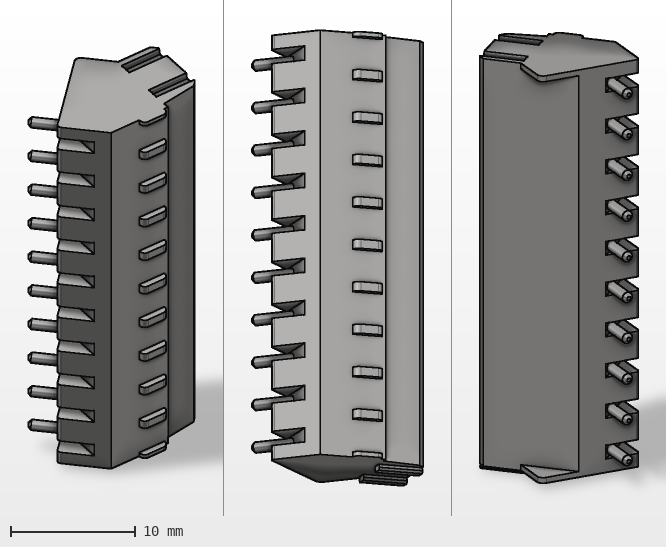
import cadquery as cq
import math

pole_count = 10
body_height = 35.0
pole_pitch = body_height / pole_count

right_x = 9.23
neck_left_x = 2.25
neck_depth = 3.7
rear_chamfer = 0.45
neck_rear_right_x = 8.25
neck_front_right_x = 8.7
nose_corner_x = 6.1
nose_corner_y = -12.42
nose_radius = 0.32
tip_radius = 0.55
end_plate_thickness = 0.5

pocket_y = -10.25
pocket_height = 1.17
pin_diameter = 0.9
pin_chamfer = 0.3
pin_end_x = 2.75
pin_end_y = -12.5
pin_length = 4.97

rib_projection = 0.57
rib_rear_y = -4.05
rib_front_y = -6.53
rib_height = 0.75
rib_radius = 0.5

rail_x_positions = (3.35, 7.1)
rail_height = 0.5
rail_width = 1.15
rail_neck_width = 0.8
rail_flare_height = 0.3
rail_length = neck_depth
groove_depth = 0.5
groove_width = 1.05
groove_floor_width = 0.78


def make_body():
    """Extrude the full outline, then trim the left wing between the two end plates."""
    right_front_y = nose_corner_y + right_x - nose_corner_x
    nose_tangent_offset = nose_radius / math.sqrt(2)
    nose_tangent_y = nose_corner_y + nose_tangent_offset
    nose_tip = (nose_corner_x, nose_corner_y + nose_radius * (math.sqrt(2) - 1))

    corner_x = -tip_radius * (math.sqrt(2) - 1)
    corner_y = nose_corner_y + nose_corner_x - corner_x
    tangent_offset = tip_radius / math.sqrt(2)
    neck_left_y = corner_y + neck_left_x - corner_x

    outline = (
        cq.Workplane("XY")
        .moveTo(neck_left_x + rear_chamfer, 0)
        .lineTo(neck_rear_right_x - rear_chamfer, 0)
        .lineTo(neck_rear_right_x, -rear_chamfer)
        .lineTo(neck_front_right_x, -neck_depth)
        .lineTo(right_x, -neck_depth)
        .lineTo(right_x, right_front_y)
        .lineTo(nose_corner_x + nose_tangent_offset, nose_tangent_y)
        .threePointArc(nose_tip, (nose_corner_x - nose_tangent_offset, nose_tangent_y))
        .lineTo(corner_x + tangent_offset, corner_y - tangent_offset)
        .threePointArc((0, corner_y), (corner_x + tangent_offset, corner_y + tangent_offset))
        .lineTo(neck_left_x, neck_left_y)
        .lineTo(neck_left_x, -rear_chamfer)
        .close()
    )
    wing_height = body_height - 2 * end_plate_thickness
    wing_gap = cq.Workplane("XY").box(neck_left_x, -nose_corner_y, wing_height, centered=False)
    return outline.extrude(body_height).cut(wing_gap.translate((0, nose_corner_y, end_plate_thickness)))


def pole_height(index):
    return (index + 0.5) * pole_pitch


def make_pocket(height):
    """Notch through the nose, with a flat floor facing -Y."""
    depth = pocket_y - nose_corner_y
    pocket = cq.Workplane("XY").box(right_x, depth, pocket_height, centered=(False, False, True))
    return pocket.translate((0, nose_corner_y, height))


def make_pin(height):
    """Round pin leaving the pocket at 45 degrees, square to the left flank of the nose."""
    end_plane = cq.Plane(origin=(0, 0, height), xDir=(0, 0, 1), normal=(-1, -1, 0))
    diagonal = pin_length / math.sqrt(2)
    pin = cq.Workplane(end_plane).circle(pin_diameter / 2).extrude(pin_length + pin_chamfer)
    pin = pin.faces("<X").chamfer(pin_chamfer)
    return pin.translate((pin_end_x + diagonal, pin_end_y + diagonal, 0))


def make_ribs():
    """Ribs at the pole boundaries; the first and last are cut in half by the body ends."""
    length = rib_rear_y - rib_front_y
    ribs = cq.Workplane("XY")
    for index in range(pole_count + 1):
        height = index * pole_pitch
        bottom = max(height - rib_height / 2, 0)
        top = min(height + rib_height / 2, body_height)
        rib = (
            cq.Workplane("XY")
            .box(rib_projection, length, top - bottom, centered=False)
            .edges("|Z and >X")
            .fillet(rib_radius)
        )
        ribs = ribs.add(rib.translate((right_x, rib_front_y, bottom)))
    return ribs.combine()


def make_rail(x):
    """Rail under the body: flares out from its neck, then tapers to the bottom."""
    rail = (
        cq.Workplane("XZ")
        .moveTo(x - rail_neck_width / 2, 0)
        .lineTo(x + rail_neck_width / 2, 0)
        .lineTo(x + rail_width / 2, -rail_flare_height)
        .lineTo(x + rail_neck_width / 2, -rail_height)
        .lineTo(x - rail_neck_width / 2, -rail_height)
        .lineTo(x - rail_width / 2, -rail_flare_height)
        .close()
    )
    return rail.extrude(rail_length)


def make_groove(x):
    """Groove in the top: two arcs per wall narrow it from the opening to the floor."""
    half_opening = groove_width / 2
    half_floor = groove_floor_width / 2
    half_middle = (half_opening + half_floor) / 2
    middle = body_height - groove_depth / 2
    floor = body_height - groove_depth

    arc_run = half_opening - half_middle
    arc_rise = groove_depth / 2
    arc_radius = (arc_run**2 + arc_rise**2) / (2 * arc_run)
    groove = (
        cq.Workplane("XZ")
        .moveTo(x - half_opening, body_height)
        .lineTo(x + half_opening, body_height)
        .radiusArc((x + half_middle, middle), -arc_radius)
        .radiusArc((x + half_floor, floor), arc_radius)
        .lineTo(x - half_floor, floor)
        .radiusArc((x - half_middle, middle), arc_radius)
        .radiusArc((x - half_opening, body_height), -arc_radius)
        .close()
    )
    return groove.extrude(rail_length)


result = make_body().union(make_ribs())
for pole in range(pole_count):
    result = result.cut(make_pocket(pole_height(pole)))
    result = result.union(make_pin(pole_height(pole)))
for rail_x in rail_x_positions:
    result = result.union(make_rail(rail_x)).cut(make_groove(rail_x))